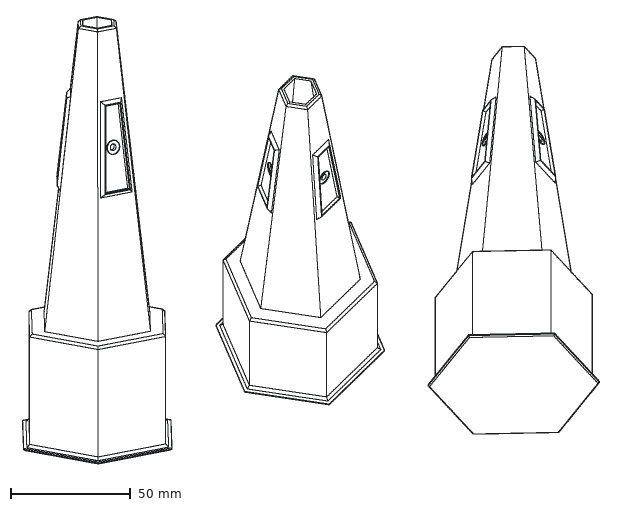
import cadquery as cq
import math

SIDES = 6

TOTAL_HEIGHT = 183.0
FLANGE_CORNERS = 71.7
BASE_CORNERS = 65.7
CONE_BOTTOM_CORNERS = 51.0
CONE_TOP_CORNERS = 18.1

BASE_HEIGHT = 50.9
BASE_TOP_CHAMFER = 1.1
FLANGE_HEIGHT = 1.1
FLANGE_CHAMFER = 0.5
FOOT_BEVEL = 1.19

CONE_WALL = 1.8
CONE_TOP_CHAMFER = 1.0

FRAME_ANGLES = (90, 210, 330)
FRAME_BOTTOM_Z = 111.5
FRAME_TOP_Z = 152.3
FRAME_SIDE_MARGIN = 1.3
FRAME_BEVEL = 1.5
FRAME_RIM = 0.45

HOLE_DIAMETER = 2.7
RECESS_DIAMETER = 6.0
RECESS_DEPTH = 0.4
HOLE_CUT_DEPTH = 2 * CONE_WALL

HALF_SECTOR = math.pi / SIDES
FLAT_RATIO = math.cos(HALF_SECTOR)
FRAME_MIDDLE_Z = (FRAME_BOTTOM_Z + FRAME_TOP_Z) / 2

CONE_HEIGHT = TOTAL_HEIGHT - BASE_HEIGHT
CONE_BOTTOM_FLAT = CONE_BOTTOM_CORNERS / 2 * FLAT_RATIO
CONE_TOP_FLAT = CONE_TOP_CORNERS / 2 * FLAT_RATIO
FACE_SLOPE = (CONE_BOTTOM_FLAT - CONE_TOP_FLAT) / CONE_HEIGHT
FACE_TILT = math.atan(FACE_SLOPE)


def cone_flat(z):
    """Distance from the axis to a cone face at height z."""
    return CONE_BOTTOM_FLAT - FACE_SLOPE * (z - BASE_HEIGHT)


def hexagon_taper(z_low, corners_low, z_high, corners_high):
    """Hexagonal frustum between two heights, given the sizes across its corners."""
    return (
        cq.Workplane("XY")
        .workplane(offset=z_low)
        .polygon(SIDES, corners_low)
        .workplane(offset=z_high - z_low)
        .polygon(SIDES, corners_high)
        .loft(ruled=True)
    )


def make_base():
    """Hexagonal block with a chamfered top and a flange around its foot."""
    block = (
        cq.Workplane("XY")
        .polygon(SIDES, BASE_CORNERS)
        .extrude(BASE_HEIGHT)
        .faces(">Z")
        .chamfer(BASE_TOP_CHAMFER)
    )
    flange = (
        cq.Workplane("XY")
        .polygon(SIDES, FLANGE_CORNERS)
        .extrude(FLANGE_HEIGHT)
        .faces("<Z")
        .chamfer(FLANGE_CHAMFER)
    )
    foot = hexagon_taper(
        FLANGE_HEIGHT,
        BASE_CORNERS + 2 * FOOT_BEVEL / FLAT_RATIO,
        FLANGE_HEIGHT + FOOT_BEVEL,
        BASE_CORNERS,
    )
    return block.union(flange).union(foot)


def face_plane(angle):
    """Plane on a cone face at mid-frame height: x runs across the face, y up the slope."""
    heading = math.radians(angle)
    out = (math.cos(heading), math.sin(heading))
    distance = cone_flat(FRAME_MIDDLE_Z)
    return cq.Plane(
        origin=(distance * out[0], distance * out[1], FRAME_MIDDLE_Z),
        xDir=(-out[1], out[0], 0),
        normal=(
            out[0] * math.cos(FACE_TILT),
            out[1] * math.cos(FACE_TILT),
            math.sin(FACE_TILT),
        ),
    )


def frame_corners(inset):
    """Frame trapezoid, drawn in by an inset, with sides parallel to the edges of the face."""
    half_length = (FRAME_TOP_Z - FRAME_BOTTOM_Z) / 2 / math.cos(FACE_TILT)
    mid_half_width = cone_flat(FRAME_MIDDLE_Z) * math.tan(HALF_SECTOR)
    side_slope = math.sin(FACE_TILT) * math.tan(HALF_SECTOR)
    side_inset = (FRAME_SIDE_MARGIN + inset) * math.hypot(1, side_slope)

    def half_width(y):
        """Half the frame width at distance y up the slope from mid-frame."""
        return mid_half_width - side_slope * y - side_inset

    top = half_length - inset
    bottom = -top
    return [
        (-half_width(bottom), bottom),
        (half_width(bottom), bottom),
        (half_width(top), top),
        (-half_width(top), top),
    ]


def make_frame(angle):
    """Bevelled trapezoidal rim standing on a cone face, open in the middle."""
    plane = face_plane(angle)
    outside = (
        cq.Workplane(plane)
        .polyline(frame_corners(0))
        .close()
        .workplane(offset=FRAME_BEVEL)
        .polyline(frame_corners(FRAME_BEVEL))
        .close()
        .loft(ruled=True)
    )
    opening = (
        cq.Workplane(plane)
        .polyline(frame_corners(FRAME_BEVEL + FRAME_RIM))
        .close()
        .extrude(FRAME_BEVEL)
    )
    return outside.cut(opening)


def make_hole(angle):
    """Cutter for a through hole in the cone wall with a shallow counterbore."""
    plane = face_plane(angle)
    hole = cq.Workplane(plane).circle(HOLE_DIAMETER / 2).extrude(-HOLE_CUT_DEPTH)
    recess = cq.Workplane(plane).circle(RECESS_DIAMETER / 2).extrude(-RECESS_DEPTH)
    return hole.union(recess)


def make_cone():
    """Hollow six-sided cone with a frame and a hole on every second face."""
    outside = hexagon_taper(BASE_HEIGHT, CONE_BOTTOM_CORNERS, TOTAL_HEIGHT, CONE_TOP_CORNERS)
    outside = outside.faces(">Z").chamfer(CONE_TOP_CHAMFER)
    wall_across_corners = 2 * CONE_WALL / math.cos(FACE_TILT) / FLAT_RATIO
    cavity = hexagon_taper(
        BASE_HEIGHT,
        CONE_BOTTOM_CORNERS - wall_across_corners,
        TOTAL_HEIGHT,
        CONE_TOP_CORNERS - wall_across_corners,
    )
    cone = outside.cut(cavity)
    for angle in FRAME_ANGLES:
        cone = cone.union(make_frame(angle)).cut(make_hole(angle))
    return cone


base = make_base()
cone = make_cone()

result = cq.Compound.makeCompound([base.val(), cone.val()])